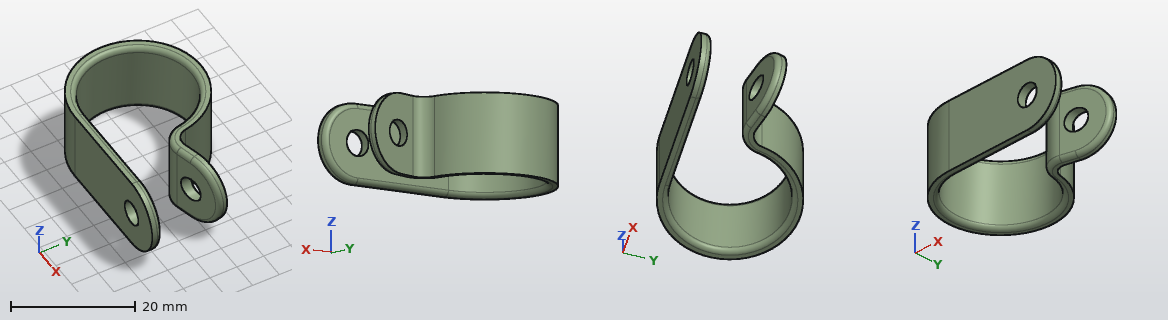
import cadquery as cq
import math

length = 36.5
loop_diameter = 23.6
width = 13.2
thickness = 1.82
hole_diameter = 4.3
loop_end_angle = 10.0
bend_inner = 2.35
flange_angle = 15.0
flange_straight = 3.03
edge_radius = thickness / 2

loop_outer = loop_diameter / 2
loop_inner = loop_outer - thickness
bend_outer = bend_inner + thickness
tab_radius = width / 2
arm_straight = length - loop_outer - tab_radius


def polar(radius, angle, center=(0, 0)):
    """Point at a radius and an angle in degrees about a center."""
    a = math.radians(angle)
    return (center[0] + radius * math.cos(a), center[1] + radius * math.sin(a))


bend_center = polar(loop_outer + bend_inner, loop_end_angle)
bend_start_angle = loop_end_angle + 180
bend_end_angle = flange_angle + 270
bend_mid_angle = (bend_start_angle + bend_end_angle) / 2
loop_mid_angle = (loop_end_angle + 270) / 2
flange_outer_start = polar(bend_inner, bend_end_angle, bend_center)
flange_inner_start = polar(bend_outer, bend_end_angle, bend_center)
flange_outer_end = polar(flange_straight, flange_angle, flange_outer_start)
flange_inner_end = polar(flange_straight, flange_angle, flange_inner_start)

strip = (
    cq.Workplane("XY")
    .workplane(offset=-width / 2)
    .moveTo(arm_straight, -loop_outer)
    .lineTo(0, -loop_outer)
    .threePointArc(polar(loop_outer, loop_mid_angle), polar(loop_outer, loop_end_angle))
    .threePointArc(polar(bend_inner, bend_mid_angle, bend_center), flange_outer_start)
    .lineTo(*flange_outer_end)
    .lineTo(*flange_inner_end)
    .lineTo(*flange_inner_start)
    .threePointArc(polar(bend_outer, bend_mid_angle, bend_center), polar(loop_inner, loop_end_angle))
    .threePointArc(polar(loop_inner, loop_mid_angle), (0, -loop_inner))
    .lineTo(arm_straight, -loop_inner)
    .close()
    .extrude(width)
)


def tab_plane(center, angle):
    """Plane on the lower face of a tab, with its normal pointing up through the strip."""
    along = polar(1, angle)
    normal = polar(1, angle + 90)
    return cq.Plane(origin=(*center, 0), xDir=(*along, 0), normal=(*normal, 0))


def half_disc(plane):
    """Rounded end of a tab."""
    return (
        cq.Workplane(plane)
        .moveTo(0, -tab_radius)
        .threePointArc((tab_radius, 0), (0, tab_radius))
        .close()
        .extrude(thickness)
    )


tab_planes = [
    tab_plane((arm_straight, -loop_outer), 0),
    tab_plane(flange_inner_end, flange_angle),
]
for plane in tab_planes:
    strip = strip.union(half_disc(plane))

arm_rim_point = (arm_straight / 2, -loop_inner, width / 2)
result = strip.edges(cq.selectors.NearestToPointSelector(arm_rim_point)).fillet(edge_radius)

screw_hole = (
    cq.Workplane("XZ")
    .center(arm_straight, 0)
    .circle(hole_diameter / 2)
    .extrude(loop_outer, both=True)
)
result = result.cut(screw_hole)